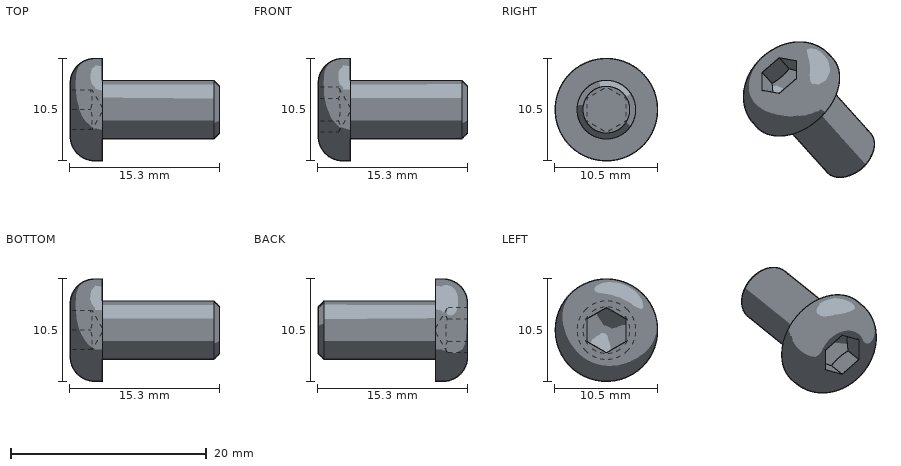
import cadquery as cq
import math

shank_diameter = 6.0
shank_length = 12.0
tip_chamfer = 0.61
head_diameter = 10.5
head_height = 3.3
rim_height = 0.75
socket_across_flats = 4.0
socket_depth = 2.08
socket_cone_angle = 120.0
hexagon_sides = 6

head_x = 0.0
rim_x = head_x + head_height - rim_height
seat_x = head_x + head_height
tip_x = seat_x + shank_length
head_radius = head_diameter / 2
shank_radius = shank_diameter / 2
crown_radius = head_height - rim_height
flat_radius = head_radius - crown_radius


def make_body():
    """Head and shank as one profile revolved about the X axis."""
    diagonal = crown_radius * math.sqrt(0.5)
    crown_middle = (rim_x - diagonal, flat_radius + diagonal)
    profile = (
        cq.Workplane("XY")
        .moveTo(head_x, 0)
        .lineTo(head_x, flat_radius)
        .threePointArc(crown_middle, (rim_x, head_radius))
        .lineTo(seat_x, head_radius)
        .lineTo(seat_x, shank_radius)
        .lineTo(tip_x - tip_chamfer, shank_radius)
        .lineTo(tip_x, shank_radius - tip_chamfer)
        .lineTo(tip_x, 0)
        .close()
    )
    return profile.revolve(360, (0, 0, 0), (1, 0, 0))


def make_socket():
    """Hexagonal socket, corners on the Z axis, with a conical bottom.

    The cone spans the hexagon corners and is trimmed by the hexagon flats.
    """
    half_sector = math.pi / hexagon_sides
    corner_radius = socket_across_flats / 2 / math.cos(half_sector)
    cone_depth = corner_radius / math.tan(math.radians(socket_cone_angle / 2))
    full_depth = socket_depth + cone_depth
    corners = []
    for index in range(hexagon_sides):
        angle = math.pi / 2 + 2 * half_sector * index
        corners.append((corner_radius * math.cos(angle), corner_radius * math.sin(angle)))
    hexagon = cq.Workplane("YZ", origin=(head_x, 0, 0)).polyline(corners).close().extrude(full_depth)
    drill = (
        cq.Workplane("XY")
        .moveTo(head_x, 0)
        .lineTo(head_x, corner_radius)
        .lineTo(head_x + socket_depth, corner_radius)
        .lineTo(head_x + full_depth, 0)
        .close()
        .revolve(360, (0, 0, 0), (1, 0, 0))
    )
    return hexagon.intersect(drill)


result = make_body().cut(make_socket())